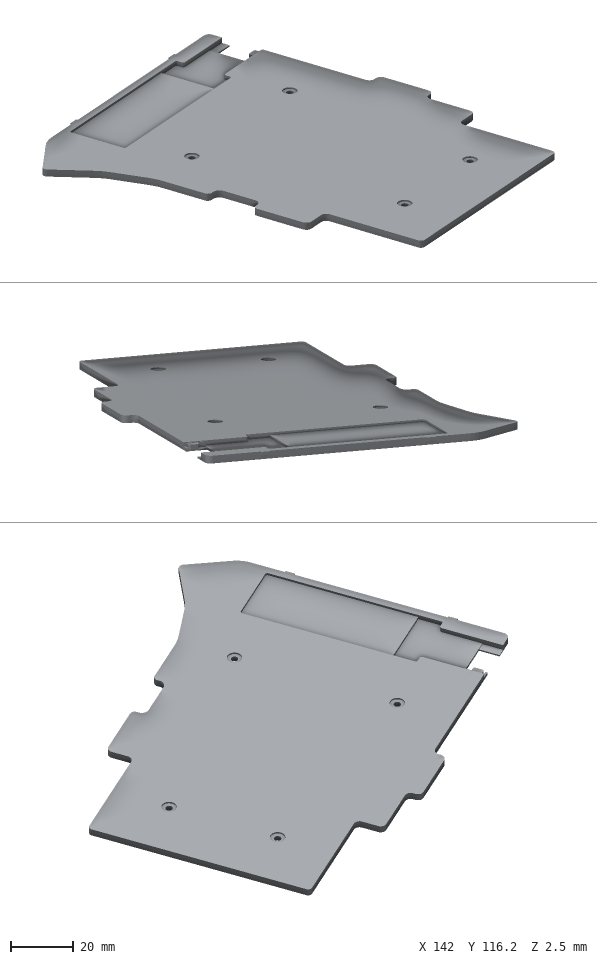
import cadquery as cq
import math

LENGTH = 142.0
WIDTH = 116.2
THICKNESS = 2.5
MID_Y = 62.6
BODY_HALF_WIDTH = 48.7
NOSE_HALF_WIDTH = 39.0
NOSE_START_X = 104.3
LUG_PROTRUSION = 0.5
LEFT_X = LUG_PROTRUSION

TAB_CENTER_X = 74.5
TAB_LENGTH = 21.0
NOTCH_LENGTH = 17.0
BODY_TOP = MID_Y + BODY_HALF_WIDTH
BODY_BOTTOM = MID_Y - BODY_HALF_WIDTH
TAB_HEIGHT = WIDTH - BODY_TOP

TOE_X = 11.0
TOE_ANGLE = math.radians(30)
TOE_BLEND_ANGLE = TOE_ANGLE / 2
TOE_BLEND_END_X = 45.5
TOE_RADIUS = 1.5
TOE_BLEND_RADIUS = 20.0
HEEL_RADIUS = 11.6

CORNER_RADIUS = 2.0
NOSE_RADIUS = 1.4
NOTCH_INNER_RADIUS = 2.4
NOTCH_OUTER_RADIUS = 1.5

POCKET_LEFT = 3.3
POCKET_RIGHT = 24.7
POCKET_BOTTOM = 27.0
POCKET_SHALLOW_DEPTH = 0.9
POCKET_DEEP_DEPTH = 1.7
POCKET_STEP_Y = 80.4
POCKET_SHOULDER_Y = 89.0
POCKET_RADIUS = 0.7
CHANNEL_LEFT = 6.3
CHANNEL_RIGHT = 21.7

MOUTH_LEFT = 9.1
MOUTH_RIGHT = 19.5
MOUTH_Y = 104.1
LEDGE_DEPTH = 2.0

FIN_LEFT = 19.0
FIN_THICKNESS = 0.7
FIN_HEIGHT = 1.1
POST_RIGHT = 21.3
POST_BOTTOM = 106.7
POST_TOP = 110.4
POST_HEIGHT = 2.1
POST_RADIUS = 0.7
RIB_HEIGHT = 2.3

HOLE_DIAMETER = 2.4
COUNTERBORE_DIAMETER = 5.0
COUNTERBORE_DEPTH = 0.5
LEFT_HOLE_X = 45.9
LEFT_HOLE_OFFSET = 28.5
RIGHT_HOLE_X = 122.0
RIGHT_HOLE_OFFSET = 19.0

LUG_WIDTH = 3.3
LUG_HEIGHT = 1.0


def box(x0, x1, y0, y1, z0, z1):
    """Axis-aligned block between two opposite corners."""
    return cq.Workplane("XY").box(x1 - x0, y1 - y0, z1 - z0, centered=False).translate((x0, y0, z0))


def make_plate():
    """Flat plate with its full outline and rounded corners."""
    toe_y = TOE_RADIUS * (1 - math.sqrt(2) * math.cos(math.pi / 4 - TOE_ANGLE))
    heel_y = toe_y + (TOE_X - LEFT_X) / math.tan(TOE_ANGLE)
    toe_slope = math.tan(TOE_ANGLE)
    blend_slope = math.tan(TOE_BLEND_ANGLE)
    blend_drop = BODY_BOTTOM - toe_y - blend_slope * (TOE_BLEND_END_X - TOE_X)
    blend_x = TOE_X + blend_drop / (toe_slope - blend_slope)
    blend_y = toe_y + toe_slope * (blend_x - TOE_X)

    tab_left = TAB_CENTER_X - TAB_LENGTH / 2
    tab_right = TAB_CENTER_X + TAB_LENGTH / 2
    notch_left = TAB_CENTER_X - NOTCH_LENGTH / 2
    notch_right = TAB_CENTER_X + NOTCH_LENGTH / 2
    notch_y = BODY_BOTTOM + TAB_HEIGHT
    nose_top = MID_Y + NOSE_HALF_WIDTH
    nose_bottom = MID_Y - NOSE_HALF_WIDTH

    corners = [
        (LEFT_X, BODY_TOP, CORNER_RADIUS),
        (LEFT_X, heel_y, HEEL_RADIUS),
        (TOE_X, toe_y, TOE_RADIUS),
        (blend_x, blend_y, TOE_BLEND_RADIUS),
        (TOE_BLEND_END_X, BODY_BOTTOM, TOE_BLEND_RADIUS),
        (notch_left, BODY_BOTTOM, NOTCH_OUTER_RADIUS),
        (notch_left, notch_y, NOTCH_INNER_RADIUS),
        (notch_right, notch_y, NOTCH_INNER_RADIUS),
        (notch_right, BODY_BOTTOM, NOTCH_OUTER_RADIUS),
        (NOSE_START_X, BODY_BOTTOM, CORNER_RADIUS),
        (NOSE_START_X, nose_bottom, CORNER_RADIUS),
        (LENGTH, nose_bottom, NOSE_RADIUS),
        (LENGTH, nose_top, NOSE_RADIUS),
        (NOSE_START_X, nose_top, CORNER_RADIUS),
        (NOSE_START_X, BODY_TOP, CORNER_RADIUS),
        (tab_right, BODY_TOP, CORNER_RADIUS),
        (tab_right, WIDTH, CORNER_RADIUS),
        (tab_left, WIDTH, CORNER_RADIUS),
        (tab_left, BODY_TOP, CORNER_RADIUS),
    ]
    plate = cq.Workplane("XY").polyline([(x, y) for x, y, _ in corners]).close().extrude(THICKNESS)
    for x, y, radius in corners:
        corner_edge = cq.selectors.NearestToPointSelector((x, y, THICKNESS / 2))
        plate = plate.edges("|Z").edges(corner_edge).fillet(radius)
    return plate


def cut_pocket(plate):
    """Shallow lower pocket, deeper upper pocket and the narrower channel to the edge."""
    shallow_z = THICKNESS - POCKET_SHALLOW_DEPTH
    deep_z = THICKNESS - POCKET_DEEP_DEPTH
    pocket = box(POCKET_LEFT, POCKET_RIGHT, POCKET_BOTTOM, POCKET_SHOULDER_Y, deep_z, THICKNESS)
    channel = box(CHANNEL_LEFT, CHANNEL_RIGHT, POCKET_SHOULDER_Y, BODY_TOP, deep_z, THICKNESS)
    cutter = pocket.union(channel).edges("|Z and (not >Y)").fillet(POCKET_RADIUS)
    shallow_floor = box(POCKET_LEFT, POCKET_RIGHT, POCKET_BOTTOM, POCKET_STEP_Y, deep_z, shallow_z)
    return plate.cut(cutter.cut(shallow_floor))


def cut_mouth(plate):
    """Opening through the plate at the channel mouth, flanked by ledges."""
    ledges = box(CHANNEL_LEFT, CHANNEL_RIGHT, MOUTH_Y, BODY_TOP, THICKNESS - LEDGE_DEPTH, THICKNESS)
    opening = box(MOUTH_LEFT, MOUTH_RIGHT, MOUTH_Y, BODY_TOP, 0, THICKNESS)
    return plate.cut(ledges).cut(opening)


def add_latch(plate):
    """End fin, rounded post and wall rib on the right ledge."""
    fin_bottom = BODY_TOP - FIN_THICKNESS
    fin = box(FIN_LEFT, CHANNEL_RIGHT, fin_bottom, BODY_TOP, 0, FIN_HEIGHT)
    post = box(MOUTH_RIGHT, POST_RIGHT, POST_BOTTOM, POST_TOP, 0, POST_HEIGHT)
    post = post.edges("|Z and <X").fillet(POST_RADIUS)
    rib = box(POST_RIGHT, CHANNEL_RIGHT, MOUTH_Y, fin_bottom, 0, RIB_HEIGHT)
    return plate.union(fin).union(post).union(rib)


def cut_screw_holes(plate):
    """Four counterbored holes, in pairs about the axis of symmetry."""
    centers = [
        (x, MID_Y + side * offset)
        for x, offset in ((LEFT_HOLE_X, LEFT_HOLE_OFFSET), (RIGHT_HOLE_X, RIGHT_HOLE_OFFSET))
        for side in (-1, 1)
    ]
    top = cq.Workplane("XY").workplane(offset=THICKNESS).pushPoints(centers)
    through = top.circle(HOLE_DIAMETER / 2).extrude(-THICKNESS)
    counterbore = top.circle(COUNTERBORE_DIAMETER / 2).extrude(-COUNTERBORE_DEPTH)
    return plate.cut(through).cut(counterbore)


def add_lugs(plate):
    """Two small lugs on the left edge, flush with the top face."""
    for side in (-1, 1):
        lug_y = MID_Y + side * LEFT_HOLE_OFFSET
        lug = box(0, POCKET_LEFT, lug_y - LUG_WIDTH / 2, lug_y + LUG_WIDTH / 2,
                  THICKNESS - LUG_HEIGHT, THICKNESS)
        plate = plate.union(lug)
    return plate


result = make_plate()
result = cut_pocket(result)
result = cut_mouth(result)
result = add_latch(result)
result = cut_screw_holes(result)
result = add_lugs(result)